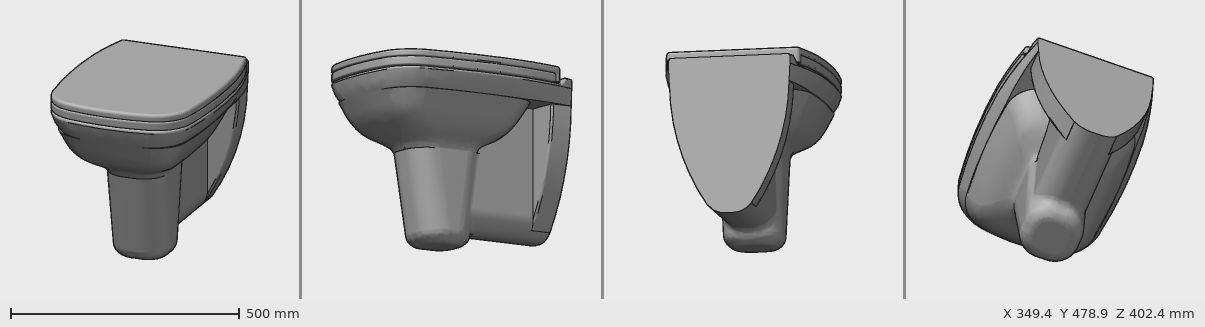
import cadquery as cq
import math


width = 349.43
depth = 478.94
height = 402.35
half_width = width / 2
wall_half_width = 136.0
widest_y = -246.0
shoulder_y = -151.0
rear_bulge = 4.5
side_radius = 1100.0
front_radius = 491.0
rim_corner_radius = 87.0

lid_bottom = 386.4
seat_top = lid_bottom
seat_bottom = 366.1
rim_top = 364.5
rim_edge_z = 358.5
band_bottom = 320.0
pedestal_top = 206.0

lid_rear_y = -37.0
flange_inner_y = -49.0
flange_bottom = 368.0
rear_corner_radius = 8.0
lid_top_radius = 7.5
lid_lower_radius = 2.5
flange_inner_radius = 5.0
seat_rear_y = flange_inner_y
seat_top_radius = 6.0
seat_lower_radius = 3.0

ledge_top = 380.0
ledge_flat = 18.5
ledge_foot = 36.5
rim_radius = 5.8

panel_thickness = 51.0
panel_top_half_width = 134.0
panel_mid = (111.0, 178.0)
panel_low = (50.0, 51.0)
panel_edge_radius = 4.5
box_half_width = 60.0
box_bottom = 31.0
box_bottom_radius = 51.0
box_front_y = -260.0

band_sections = [
    (rim_edge_z, half_width, depth, wall_half_width),
    (341.0, half_width - 5.5, depth - 4.5, wall_half_width - 1),
    (band_bottom, 156.0, 463.5, panel_top_half_width),
]
bowl_sections = [
    (band_bottom, 156.0, -463.5, -78.0, 74.0),
    (300.0, 146.0, -452.0, -91.0, 62.0),
    (278.0, 134.0, -439.0, -106.0, 54.0),
    (242.0, 106.0, -401.0, -140.0, 51.0),
    (222.0, 77.0, -370.0, -168.0, 56.0),
    (pedestal_top, 70.0, -357.0, -173.0, 56.0),
]
pedestal_foot_section = (0.0, 66.0, -324.0, -199.0, 54.0)
pedestal_foot_radius = 29.0
pedestal_root_radius = 20.0

margin = 1.0


def corner_points(end_y, end_direction, half, side_y, radius):
    """Start, middle and end of a corner arc tangent to a bowed side and a bowed end.

    end_direction is -1 for the front end and +1 for the rear end.
    """
    end_centre = (0, end_y - end_direction * front_radius)
    side_centre = (half - side_radius, side_y)
    reach_end = front_radius - radius
    reach_side = side_radius - radius
    dx = side_centre[0] - end_centre[0]
    dy = side_centre[1] - end_centre[1]
    gap = math.hypot(dx, dy)
    along = (gap ** 2 + reach_end ** 2 - reach_side ** 2) / (2 * gap)
    across = end_direction * math.sqrt(reach_end ** 2 - along ** 2)
    centre_x = end_centre[0] + (along * dx + across * dy) / gap
    centre_y = end_centre[1] + (along * dy - across * dx) / gap
    end_angle = math.atan2(centre_y - end_centre[1], centre_x - end_centre[0])
    side_angle = math.atan2(centre_y - side_centre[1], centre_x - side_centre[0])
    angles = [side_angle, (side_angle + end_angle) / 2, end_angle]
    return [(centre_x + radius * math.cos(a), centre_y + radius * math.sin(a)) for a in angles]


def mirrored(point):
    return (-point[0], point[1])


def rim_outline(plane, half, front, wall_half):
    """Plan outline: straight wall edge, bowed sides, round front corners, bowed front."""
    side_start, corner_mid, front_start = corner_points(-front, -1, half, widest_y, rim_corner_radius)
    rise = shoulder_y - widest_y
    shoulder = (half - side_radius + math.sqrt(side_radius ** 2 - rise ** 2), shoulder_y)
    rear_mid = ((shoulder[0] + wall_half) / 2 + rear_bulge, shoulder_y / 2)
    return (
        plane.moveTo(wall_half, 0)
        .threePointArc(rear_mid, shoulder)
        .threePointArc((half, widest_y), side_start)
        .threePointArc(corner_mid, front_start)
        .threePointArc((0, -front), mirrored(front_start))
        .threePointArc(mirrored(corner_mid), mirrored(side_start))
        .threePointArc((-half, widest_y), mirrored(shoulder))
        .threePointArc(mirrored(rear_mid), (-wall_half, 0))
        .close()
    )


def bowl_outline(plane, half, front_y, rear_y, radius):
    """Rounded rectangle with slightly bowed sides."""
    middle_y = (front_y + rear_y) / 2
    front = corner_points(front_y, -1, half, middle_y, radius)
    rear = corner_points(rear_y, 1, half, middle_y, radius)
    return (
        plane.moveTo(*rear[0])
        .threePointArc((half, middle_y), front[0])
        .threePointArc(front[1], front[2])
        .threePointArc((0, front_y), mirrored(front[2]))
        .threePointArc(mirrored(front[1]), mirrored(front[0]))
        .threePointArc((-half, middle_y), mirrored(rear[0]))
        .threePointArc(mirrored(rear[1]), mirrored(rear[2]))
        .threePointArc((0, rear_y), rear[2])
        .threePointArc(rear[1], rear[0])
        .close()
    )


def loft_sections(outline, sections, ruled=False):
    wires = [outline(cq.Workplane().workplane(offset=z), *sizes).val() for z, *sizes in sections]
    return cq.Workplane(cq.Solid.makeLoft(wires, ruled))


def plan_slab(bottom, top, rear_y=0.0):
    """Slab with the full plan outline, cut straight at rear_y."""
    slab = rim_outline(cq.Workplane().workplane(offset=bottom), half_width, depth, wall_half_width)
    slab = slab.extrude(top - bottom)
    if rear_y == 0:
        return slab
    keep = cq.Workplane().box(width, depth, height, centered=(True, False, False))
    return slab.intersect(keep.translate((0, rear_y - depth, 0)))


def make_lid():
    lid = plan_slab(flange_bottom, height, lid_rear_y)
    lid = lid.edges("|Z and >Y").fillet(rear_corner_radius)
    lid = lid.faces(">Z").edges().fillet(lid_top_radius)
    hollow = (
        cq.Workplane().box(width, depth, lid_bottom, centered=(True, False, False))
        .translate((0, flange_inner_y - depth, 0))
        .edges("|X and >Y and >Z").fillet(flange_inner_radius)
    )
    lid = lid.cut(hollow)
    underside = lid.faces(cq.selectors.NearestToPointSelector((0, widest_y, lid_bottom)))
    return underside.edges("not |X").fillet(lid_lower_radius)


def make_seat():
    seat = plan_slab(seat_bottom, seat_top, seat_rear_y)
    seat = seat.edges("|Z and >Y").fillet(rear_corner_radius)
    seat = seat.faces(">Z").edges().fillet(seat_top_radius)
    return seat.faces("<Z").edges().fillet(seat_lower_radius)


def make_rim():
    """Bowl rim with a raised, sloping ledge along the wall and one rounding along the whole edge."""
    side = [(0, rim_edge_z), (0, ledge_top), (-ledge_flat, ledge_top),
            (-ledge_foot, rim_top), (-depth, rim_top), (-depth, rim_edge_z)]
    profile = cq.Workplane("YZ").polyline(side).close().extrude(half_width, both=True)
    rim = plan_slab(rim_edge_z, ledge_top).intersect(profile)
    low_corner = (-width, -depth - margin, rim_top - margin)
    high_corner = (width, -margin, ledge_top + margin)
    return rim.edges(cq.selectors.BoxSelector(low_corner, high_corner)).edges("not |X").fillet(rim_radius)


def make_panel():
    panel = (
        cq.Workplane("XZ").moveTo(panel_top_half_width, band_bottom)
        .threePointArc(panel_mid, panel_low)
        .lineTo(*mirrored(panel_low))
        .threePointArc(mirrored(panel_mid), (-panel_top_half_width, band_bottom))
        .close().extrude(panel_thickness)
    )
    return panel.faces("<Y").edges("not |X").fillet(panel_edge_radius)


def make_box():
    box = (
        cq.Workplane("XZ").center(0, (box_bottom + band_bottom) / 2)
        .rect(2 * box_half_width, band_bottom - box_bottom).extrude(-box_front_y)
    )
    return box.edges("|Y and <Z").fillet(box_bottom_radius)


def make_pedestal():
    pedestal = loft_sections(bowl_outline, [bowl_sections[-1], pedestal_foot_section], ruled=True)
    return pedestal.faces("<Z").edges().fillet(pedestal_foot_radius)


def make_foot():
    """Pedestal and box, blended along the curve where they meet."""
    foot = make_pedestal().union(make_box())
    rear_y = pedestal_foot_section[3]
    low_corner = (-box_half_width - margin, rear_y - pedestal_root_radius, box_bottom - margin)
    high_corner = (box_half_width + margin, rear_y + pedestal_root_radius, pedestal_top - margin)
    meeting_edges = foot.edges(cq.selectors.BoxSelector(low_corner, high_corner))
    return meeting_edges.fillet(pedestal_root_radius)


def make_pan():
    band = loft_sections(rim_outline, band_sections)
    bowl = loft_sections(bowl_outline, bowl_sections)
    pan = make_foot()
    for piece in (bowl, band, make_panel(), make_rim()):
        pan = pan.union(piece)
    return pan


lid = make_lid()
seat = make_seat()
pan = make_pan()
result = cq.Compound.makeCompound([lid.val(), seat.val(), pan.val()])